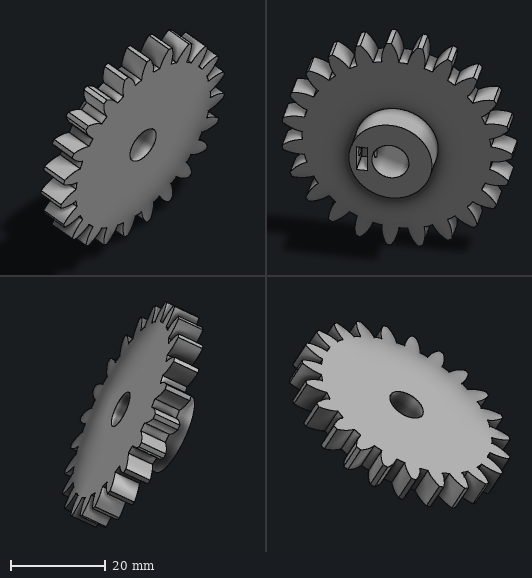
import cadquery as cq
import math

tooth_count = 23
tip_diameter = 50.0
module = tip_diameter / (tooth_count + 2)
tip_radius = tip_diameter / 2
pitch_radius = module * tooth_count / 2
dedendum = 1.25 * module
root_radius = pitch_radius - dedendum
gear_width = 6.0

tip_half_width = 0.55
pitch_half_width = 1.45
root_half_width = 1.85

hub_diameter = 18.0
hub_length = 7.0
bore_diameter = 8.0

screw_diameter = 3.0
screw_x = -3.0
nut_across_flats = 5.6
nut_inner_y = 5.0
nut_thickness = 2.35


def rim_point(radius, angle):
    """Point on a circle about the gear axis, as (Y, Z)."""
    return (radius * math.cos(angle), radius * math.sin(angle))


def make_gear():
    tip_half_angle = math.asin(tip_half_width / tip_radius)
    pitch_half_angle = math.asin(pitch_half_width / pitch_radius)
    root_half_angle = math.asin(root_half_width / root_radius)
    tooth_angle = 2 * math.pi / tooth_count
    first_tooth = math.pi

    outline = cq.Workplane("YZ").moveTo(*rim_point(root_radius, first_tooth - root_half_angle))
    for tooth in range(tooth_count):
        center = first_tooth + tooth * tooth_angle
        next_gap = center + tooth_angle / 2
        next_tooth = center + tooth_angle
        outline = (
            outline
            .threePointArc(
                rim_point(pitch_radius, center - pitch_half_angle),
                rim_point(tip_radius, center - tip_half_angle),
            )
            .threePointArc(
                rim_point(tip_radius, center),
                rim_point(tip_radius, center + tip_half_angle),
            )
            .threePointArc(
                rim_point(pitch_radius, center + pitch_half_angle),
                rim_point(root_radius, center + root_half_angle),
            )
            .threePointArc(
                rim_point(root_radius, next_gap),
                rim_point(root_radius, next_tooth - root_half_angle),
            )
        )
    return outline.close().extrude(gear_width)


def make_hub():
    return cq.Workplane("YZ").circle(hub_diameter / 2).extrude(-hub_length)


def make_bore():
    return (
        cq.Workplane("YZ", origin=(-hub_length, 0, 0))
        .circle(bore_diameter / 2)
        .extrude(hub_length + gear_width)
    )


def make_screw_hole():
    """Round hole running from the bore axis out through the +Y side of the hub."""
    return (
        cq.Workplane("XZ", origin=(screw_x, 0, 0))
        .circle(screw_diameter / 2)
        .extrude(-hub_diameter / 2)
    )


def make_nut_trap():
    """Slot open at the hub's -X face whose inner end is the pointed half of a hexagon."""
    half_height = nut_across_flats / 2
    corner_distance = nut_across_flats / math.sqrt(3)
    flat_end_x = screw_x + corner_distance / 2
    return (
        cq.Workplane("XZ", origin=(0, nut_inner_y, 0))
        .moveTo(-hub_length, -half_height)
        .lineTo(flat_end_x, -half_height)
        .lineTo(screw_x + corner_distance, 0)
        .lineTo(flat_end_x, half_height)
        .lineTo(-hub_length, half_height)
        .close()
        .extrude(-nut_thickness)
    )


result = (
    make_gear()
    .union(make_hub())
    .cut(make_bore())
    .cut(make_screw_hole())
    .cut(make_nut_trap())
)